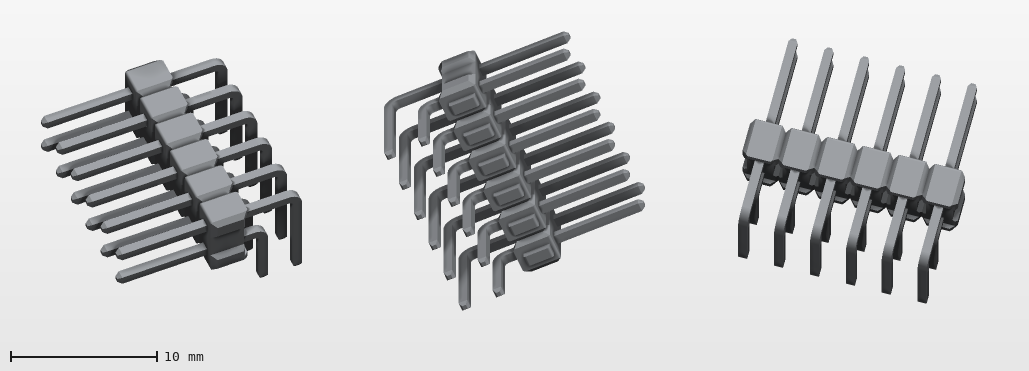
import cadquery as cq

PITCH = 2.54
COLUMNS = 6
ROWS = 2

HOUSING_HEIGHT = ROWS * PITCH
WALL_DEPTH = 2.5
LIP_DEPTH = 0.3
LIP_HEIGHT = 0.51
HOUSING_DEPTH = WALL_DEPTH + LIP_DEPTH
FRONT_EDGE_RADIUS = 0.18

WING_HEIGHT = 1.6
WING_CHAMFER = 0.34
WING_FRONT_CHAMFER = 0.38
WING_BACK_CHAMFER = 0.46

FOOT_WIDTH = 0.76
FOOT_LENGTH = 1.95
FOOT_HEIGHT = 0.57
FOOT_SETBACK = 0.28
FOOT_EDGE_RADIUS = 0.18

PIN_WIDTH = 0.64
PIN_TIP_WIDTH = 0.3
PIN_TIP_LENGTH = 0.31
PIN_BEND_RADIUS = 0.68
PIN_FRONT_Y = -6.63
PIN_BOTTOM_Z = -3.75
BACK_LEG_Y = 6.79

HALF_PITCH = PITCH / 2
COLUMN_HALF_WIDTH = HALF_PITCH - WING_CHAMFER


def cell_outline_from_above():
    """Plan octagon of a cell, extruded over the full height."""
    outline = [
        (-COLUMN_HALF_WIDTH, 0),
        (COLUMN_HALF_WIDTH, 0),
        (HALF_PITCH, WING_FRONT_CHAMFER),
        (HALF_PITCH, HOUSING_DEPTH - WING_BACK_CHAMFER),
        (HALF_PITCH - WING_BACK_CHAMFER, HOUSING_DEPTH),
        (-HALF_PITCH + WING_BACK_CHAMFER, HOUSING_DEPTH),
        (-HALF_PITCH, HOUSING_DEPTH - WING_BACK_CHAMFER),
        (-HALF_PITCH, WING_FRONT_CHAMFER),
    ]
    return cq.Workplane("XY").polyline(outline).close().extrude(HOUSING_HEIGHT)


def wing_band(bottom_z):
    """Cell-wide band with chamfered corners, extruded over the full depth."""
    return (
        cq.Workplane("XY")
        .box(PITCH, HOUSING_DEPTH, WING_HEIGHT, centered=(True, False, False))
        .edges("|Y")
        .chamfer(WING_CHAMFER)
        .translate((0, 0, bottom_z))
    )


def housing_side_profile():
    """Side profile with rounded front edges and the back recess, cell wide."""
    block = (
        cq.Workplane("XY")
        .box(PITCH, HOUSING_DEPTH, HOUSING_HEIGHT, centered=(True, False, False))
        .edges("|X and <Y")
        .fillet(FRONT_EDGE_RADIUS)
    )
    recess_height = HOUSING_HEIGHT - 2 * LIP_HEIGHT
    recess = (
        cq.Workplane("XY")
        .box(PITCH, LIP_DEPTH, recess_height, centered=(True, False, False))
        .translate((0, WALL_DEPTH, LIP_HEIGHT))
    )
    return block.cut(recess)


def make_foot():
    """Standoff with rounded front and back bottom edges."""
    return (
        cq.Workplane("XY")
        .box(FOOT_WIDTH, FOOT_LENGTH, FOOT_HEIGHT, centered=(True, False, False))
        .edges("|X and <Z")
        .fillet(FOOT_EDGE_RADIUS)
        .translate((0, FOOT_SETBACK, -FOOT_HEIGHT))
    )


def make_cell():
    """One housing cell: central column, upper and lower wings, foot."""
    column = cq.Workplane("XY").box(
        2 * COLUMN_HALF_WIDTH, HOUSING_DEPTH, HOUSING_HEIGHT, centered=(True, False, False)
    )
    front_shape = column.union(wing_band(0)).union(wing_band(HOUSING_HEIGHT - WING_HEIGHT))
    housing = front_shape.intersect(cell_outline_from_above()).intersect(housing_side_profile())
    return housing.union(make_foot())


def pin_tip(end_plane):
    """Square pyramid frustum that grows along the normal of end_plane."""
    return (
        cq.Workplane(end_plane)
        .rect(PIN_WIDTH, PIN_WIDTH)
        .workplane(offset=PIN_TIP_LENGTH)
        .rect(PIN_TIP_WIDTH, PIN_TIP_WIDTH)
        .loft(ruled=True)
    )


def make_pin(axis_z, leg_y):
    """Right-angle pin: horizontal at axis_z, bent down at leg_y, pointed at both ends."""
    half = PIN_WIDTH / 2
    outer_radius = PIN_BEND_RADIUS + half
    inner_radius = PIN_BEND_RADIUS - half
    front_y = PIN_FRONT_Y + PIN_TIP_LENGTH
    bottom_z = PIN_BOTTOM_Z + PIN_TIP_LENGTH
    bend_y = leg_y - PIN_BEND_RADIUS
    bend_z = axis_z - PIN_BEND_RADIUS
    bar = (
        cq.Workplane("YZ", origin=(-half, 0, 0))
        .moveTo(front_y, axis_z + half)
        .lineTo(bend_y, axis_z + half)
        .radiusArc((leg_y + half, bend_z), outer_radius)
        .lineTo(leg_y + half, bottom_z)
        .lineTo(leg_y - half, bottom_z)
        .lineTo(leg_y - half, bend_z)
        .radiusArc((bend_y, axis_z - half), -inner_radius)
        .lineTo(front_y, axis_z - half)
        .close()
        .extrude(PIN_WIDTH)
    )
    front_end = cq.Plane(origin=(0, front_y, axis_z), xDir=(1, 0, 0), normal=(0, -1, 0))
    lower_end = cq.Plane(origin=(0, leg_y, bottom_z), xDir=(1, 0, 0), normal=(0, 0, -1))
    return bar.union(pin_tip(front_end)).union(pin_tip(lower_end))


def make_contact_column():
    """One cell with its pins; each lower row bends one pitch further forward."""
    contact_column = make_cell()
    for row in range(ROWS):
        drop = row * PITCH
        top_row_z = HOUSING_HEIGHT - HALF_PITCH
        contact_column = contact_column.union(make_pin(top_row_z - drop, BACK_LEG_Y - drop))
    return contact_column


def make_header():
    """Row of identical columns, centred on X and joined at the wing faces."""
    contact_column = make_contact_column()
    first_x = -(COLUMNS - 1) * HALF_PITCH
    header = contact_column.translate((first_x, 0, 0))
    for index in range(1, COLUMNS):
        header = header.union(contact_column.translate((first_x + index * PITCH, 0, 0)))
    return header


result = make_header()